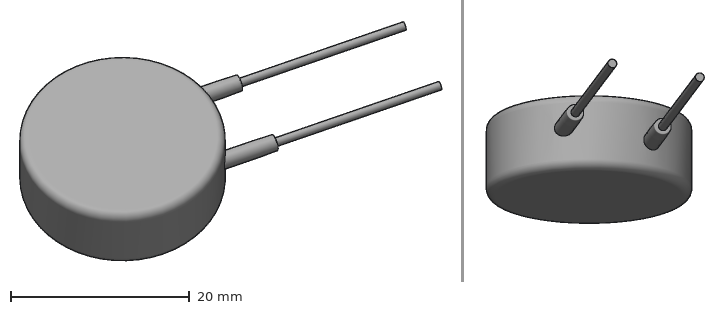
import cadquery as cq

body_diameter = 23.0
body_height = 8.7
rim_radius = 1.0

overall_length = 48.0
lead_spacing = 10.0
lead_height_step = 1.0
wire_diameter = 1.0
wire_end = overall_length - body_diameter / 2

sleeve_diameter = 2.0
sleeve_tip_diameter = 1.9
sleeve_end = 16.4
taper_length = 2.15
tip_rounding = 0.1
taper_start = sleeve_end - taper_length

lead_root = 7.2


def make_body():
    disc = cq.Workplane("XY").cylinder(body_height, body_diameter / 2)
    return disc.edges("%CIRCLE").fillet(rim_radius)


def make_lead(x, z):
    """Sleeve and wire as one stepped profile revolved about the lead axis."""
    sleeve_radius = sleeve_diameter / 2
    tip_radius = sleeve_tip_diameter / 2
    wire_radius = wire_diameter / 2
    profile = (
        cq.Workplane("XY")
        .moveTo(0, lead_root)
        .lineTo(sleeve_radius, lead_root)
        .lineTo(sleeve_radius, taper_start)
        .lineTo(tip_radius, sleeve_end - tip_rounding)
        .radiusArc((tip_radius - tip_rounding, sleeve_end), -tip_rounding)
        .lineTo(wire_radius, sleeve_end)
        .lineTo(wire_radius, wire_end)
        .lineTo(0, wire_end)
        .close()
    )
    return profile.revolve(360, (0, 0, 0), (0, 1, 0)).translate((x, 0, z))


result = make_body()
for side in (-1, 1):
    result = result.union(make_lead(side * lead_spacing / 2, side * lead_height_step / 2))